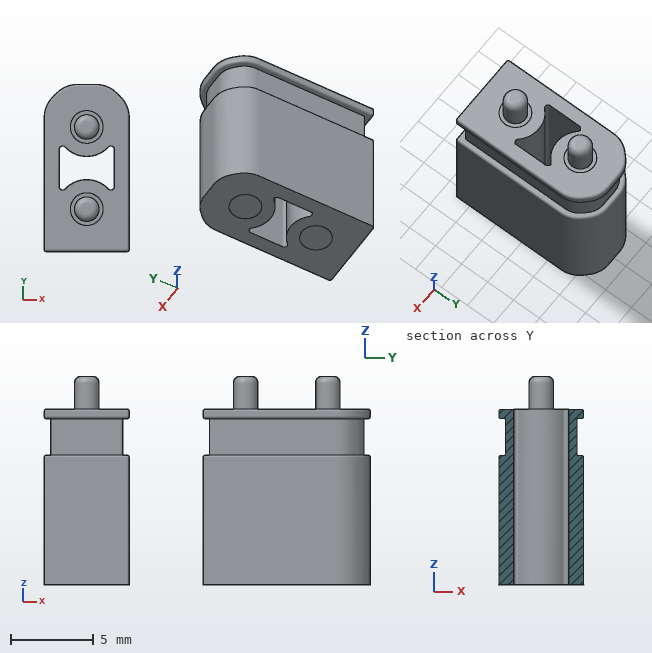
import cadquery as cq
import math

total_height = 12.7
pin_projection = 2.0
flange_thickness = 0.6
body_height = 7.9
flange_top = total_height - pin_projection
flange_bottom = flange_top - flange_thickness

width = 5.2
length = 10.2
corner_chamfer = 1.3
blend_radius = 1.8
edge_radius = 0.15
neck_inset = 0.4

pin_spacing = 5.0
pin_radius = 1.5 / 2
shank_radius = 2.0 / 2
pin_tip_radius = 0.4
pin_positions = [(0, -pin_spacing / 2), (0, pin_spacing / 2)]

opening_width = 3.34
opening_wall_radius = 1.8
opening_corner_radius = 0.2


def outline_prism(bottom, top, inset=0.0):
    """Upright prism of the housing outline, moved inwards by inset."""
    half_width = width / 2 - inset
    half_length = length / 2 - inset
    chamfer = corner_chamfer - inset * (2 - math.sqrt(2))
    prism = (
        cq.Workplane("XY")
        .workplane(offset=bottom)
        .polyline([
            (-half_width, -half_length),
            (half_width, -half_length),
            (half_width, half_length - chamfer),
            (half_width - chamfer, half_length),
            (chamfer - half_width, half_length),
            (-half_width, half_length - chamfer),
        ])
        .close()
        .extrude(top - bottom)
    )
    front_edges = cq.selectors.BoxSelector(
        (-width, -length, bottom), (width, 0, top)
    )
    back_edges = cq.selectors.BoxSelector(
        (-width, 0, bottom), (width, length, top)
    )
    prism = prism.edges("|Z").edges(back_edges).fillet(blend_radius - inset)
    return prism.edges("|Z").edges(front_edges).fillet(edge_radius)


def waisted_opening():
    """Through cutter: a slot bitten into by a round wall around each pin."""
    block = cq.Workplane("XY").rect(opening_width, pin_spacing).extrude(flange_top)
    pin_walls = (
        cq.Workplane("XY")
        .pushPoints(pin_positions)
        .circle(opening_wall_radius)
        .extrude(flange_top)
    )
    return block.cut(pin_walls).edges("|Z").fillet(opening_corner_radius)


def make_housing():
    """Body, narrower neck and flange in one piece, with the opening and pin holes."""
    body = outline_prism(0, body_height).faces(">Z").edges().fillet(edge_radius)
    neck = outline_prism(body_height, flange_bottom, neck_inset)
    flange = (
        outline_prism(flange_bottom, flange_top)
        .faces("<Z or >Z")
        .edges()
        .fillet(edge_radius)
    )
    pin_holes = (
        cq.Workplane("XY")
        .pushPoints(pin_positions)
        .circle(shank_radius)
        .extrude(flange_top)
    )
    return body.union(neck).union(flange).cut(waisted_opening()).cut(pin_holes)


def make_pin(position):
    """Pin with a thick shank filling the housing and a thinner round-tipped end."""
    shank = cq.Workplane("XY").circle(shank_radius).extrude(flange_top)
    tip = (
        cq.Workplane("XY")
        .workplane(offset=flange_top)
        .circle(pin_radius)
        .extrude(pin_projection)
        .faces(">Z")
        .edges()
        .fillet(pin_tip_radius)
    )
    return shank.union(tip).translate((*position, 0))


housing = make_housing()
pins = [make_pin(position) for position in pin_positions]

result = cq.Compound.makeCompound([
    housing.val(),
    *[pin.val() for pin in pins],
])